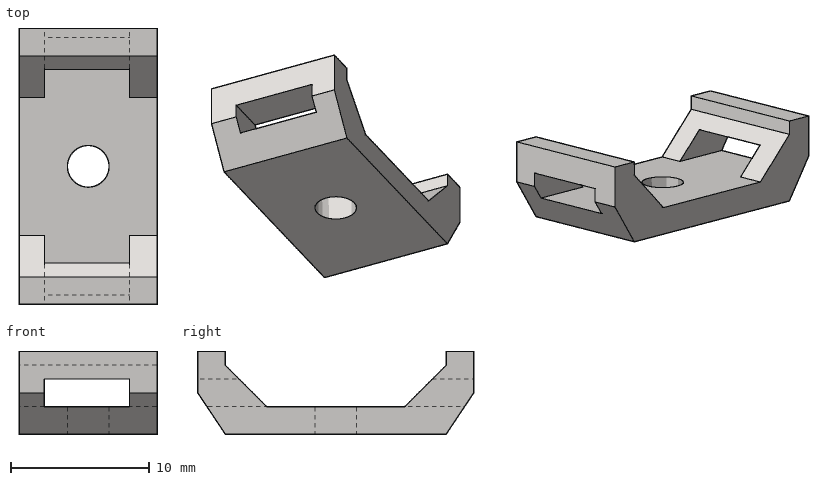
import cadquery as cq

width = 10.0
length = 20.0
height = 6.0

floor_thickness = 2.0
lip_thickness = 2.0
lip_height = 1.0
outer_chamfer_run = 2.0
outer_chamfer_height = 3.0

slot_width = 6.15
slot_offset = -0.1
slot_height = 2.0
hole_diameter = 3.0

half_length = length / 2
lip_inner = half_length - lip_thickness
ramp_top = height - lip_height
floor_half_length = lip_inner - (ramp_top - floor_thickness)


def make_body():
    """Extrude the symmetric cradle profile across the width."""
    right_half = [
        (half_length - outer_chamfer_run, 0),
        (half_length, outer_chamfer_height),
        (half_length, height),
        (lip_inner, height),
        (lip_inner, ramp_top),
        (floor_half_length, floor_thickness),
    ]
    left_half = [(-y, z) for y, z in reversed(right_half)]
    profile = cq.Workplane("YZ").polyline(right_half + left_half).close()
    return profile.extrude(width / 2, both=True)


def make_strap_slot():
    """Rectangular passage through both end walls, flush with the floor."""
    slot = cq.Workplane("XY").box(slot_width, length, slot_height, centered=(True, True, False))
    return slot.translate((slot_offset, 0, floor_thickness))


def make_screw_hole():
    """Vertical hole through the middle of the floor."""
    return cq.Workplane("XY").circle(hole_diameter / 2).extrude(floor_thickness)


result = make_body().cut(make_strap_slot()).cut(make_screw_hole())